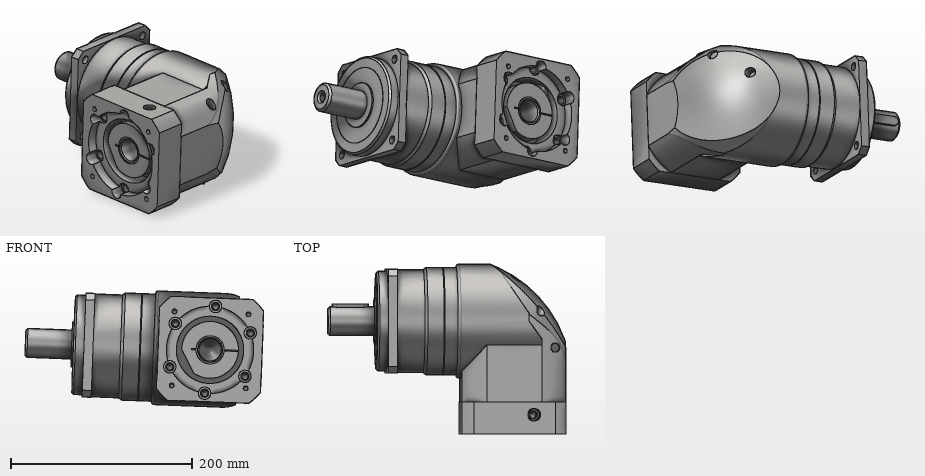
import cadquery as cq
import math

TILT = 2.2
CENTRE = (72.7, 30.8, -0.8)

TIP_X = -204.0
SEAL_X = -152.9
PILOT_X = -150.7
FLANGE_X = -139.1
FLANGE_BACK_X = -129.1
STEP_X = -98.8
RING_X = -95.7
SPLIT_X = -77.2
COLLAR_X = -62.5

SHAFT_R = 16.0
SHAFT_CHAMFER = 2.5
SHAFT_END_X = FLANGE_BACK_X
TAP_R = 5.0
TAP_DEPTH = 21.0
COUNTERSINK = 2.0
KEY_WIDTH = 10.0
KEY_LENGTH = 40.0
KEY_BOTTOM = 11.0
KEY_TOP = 19.0
KEY_START_X = -199.2

SEAL_R = 25.0
SEAL_LENGTH = 8.0
COVER_R = 42.5
COVER_RISE = 0.3
PILOT_R = 55.0
PILOT_CHAMFER = 2.0
FLANGE_SIDE = 115.0
FLANGE_CHAMFER = 7.6
BOLT_SPACING = 92.0
BOLT_HOLE_R = 4.5
BODY_R = 57.0
RING_R = 59.3
SPLIT_CHAMFER = 0.5

ELBOW_R = 125.7 / 2
COLLAR_FILLET = 3.2
NECK_R = 64.8
NECK_SIDE = 114.5
NECK_FLAT_HALF = 30.3
NECK_OUTER_X = 57.7
BEND_X = 15.8
BEND_TOP_Y = 8.0
BEND_LOW_Y = 0.0
NECK_FLAT_TOP_Y = -19.8
SEAM_Y = -89.0
DOME_R = 139.7
DOME_TOP = 39.5
DOME_SHIFT = 4.2
CONE_TOP = 42.2
CONE_BASE = -105.5
CONE_TOP_WIDTH = 47.0
CONE_TOP_HEIGHT = 40.0
CONE_WIDTH_SLOPE = 1.0
CONE_HEIGHT_SLOPE = 0.9
CAP_HOLE_R = 5.8
CAP_HOLES = [(-12.6, 49.5), (30.8, 21.0)]
CAP_HOLE_FLOOR = 18.5
SIDE_HOLE_R = 5.0
SIDE_HOLE_PLACE = (45.5, -29.3)
SIDE_HOLE_FLOOR_Z = 21.0

FACE_Y = -124.7
ADAPTER_SIDE = 115.0
ADAPTER_CORNER_R = 73.0
RECESS_R = 48.2
RECESS_DEPTH = 11.9
ADAPTER_BORE_R = 37.2
SCREW_COUNT = 6
FIRST_SCREW_ANGLE = 25.0
SCREW_CIRCLE_R = 48.2
SCREW_HEAD_R = 6.9
SCREW_HEAD_DEPTH = 15.3
SCREW_HOLE_R = 4.5
SCREW_TAP_R = 3.7
SCREW_TAP_DEPTH = 13.2
MOTOR_TAP_R = 2.6
MOTOR_TAP_SPACING = 81.7
MOTOR_TAP_DEPTH = 15.8
ACCESS_R = 6.9
ACCESS_X = 22.0
ACCESS_Y = -103.3

CLAMP_SETBACK = 13.5
CLAMP_Y = FACE_Y + CLAMP_SETBACK
CLAMP_LENGTH = 15.8
CLAMP_R = 31.4
CLAMP_FLAT = 27.7
CLAMP_FLAT_ANGLE = 209.0
SLIT_WIDTH = 1.3
SLIT_SHORT_END = 20.3
CLAMP_SCREW_R = 4.2
CLAMP_SCREW_DEPTH = 42.2
SLEEVE_R = 15.5
SLEEVE_BORE_R = 12.5
SLEEVE_CHAMFER = 1.3
SLEEVE_LENGTH = 42.2
SLEEVE_BORE_DEPTH = 31.5
SLEEVE_CONE = 5.3

DRILL_POINT = 0.6
REACH = 79.0


def rod_x(radius, start, end):
    return cq.Workplane("YZ", origin=(start, 0, 0)).circle(radius).extrude(end - start)


def rod_y(radius, start, end, x=0.0, z=0.0):
    return cq.Workplane("XZ", origin=(x, start, z)).circle(radius).extrude(start - end)


def rod_z(radius, start, end, x, y):
    return cq.Workplane("XY", origin=(x, y, start)).circle(radius).extrude(end - start)


def block(x0, x1, y0, y1, z0, z1):
    return cq.Workplane("XY").box(x1 - x0, y1 - y0, z1 - z0, centered=False).translate((x0, y0, z0))


def drill(radius, mouth, direction, depth):
    """A blind drilled hole with a conical bottom, as a cutting tool."""
    axis = cq.Vector(*direction)
    start = cq.Vector(*mouth)
    straight = cq.Solid.makeCylinder(radius, depth, start, axis)
    point = cq.Solid.makeCone(radius, 0, radius * DRILL_POINT, start + axis * depth, axis)
    return cq.Workplane(straight).union(cq.Workplane(point))


def make_key():
    middle_x = KEY_START_X + KEY_LENGTH / 2
    return (
        cq.Workplane("XZ", origin=(middle_x, KEY_BOTTOM, 0))
        .slot2D(KEY_LENGTH, KEY_WIDTH)
        .extrude(KEY_BOTTOM - KEY_TOP)
    )


def make_shaft():
    shaft = rod_x(SHAFT_R, TIP_X, SHAFT_END_X).faces("<X").chamfer(SHAFT_CHAMFER)
    shaft = shaft.cut(drill(TAP_R, (TIP_X, 0, 0), (1, 0, 0), TAP_DEPTH))
    countersink = cq.Solid.makeCone(
        TAP_R + COUNTERSINK, TAP_R, COUNTERSINK, cq.Vector(TIP_X, 0, 0), cq.Vector(1, 0, 0)
    )
    return shaft.cut(cq.Workplane(countersink)).cut(make_key())


def make_seal():
    seal_end = SEAL_X + SEAL_LENGTH
    return rod_x(SEAL_R, SEAL_X, seal_end).cut(rod_x(SHAFT_R, SEAL_X, seal_end))


def make_flange():
    return (
        cq.Workplane("YZ", origin=(FLANGE_X, 0, 0))
        .rect(FLANGE_SIDE, FLANGE_SIDE)
        .extrude(FLANGE_BACK_X - FLANGE_X)
        .edges("|X")
        .chamfer(FLANGE_CHAMFER)
        .faces("<X")
        .workplane(origin=(FLANGE_X, 0, 0))
        .rect(BOLT_SPACING, BOLT_SPACING, forConstruction=True)
        .vertices()
        .hole(2 * BOLT_HOLE_R)
    )


def make_output_housing():
    profile = [
        (PILOT_X - COVER_RISE, 0),
        (PILOT_X - COVER_RISE, COVER_R),
        (PILOT_X, COVER_R),
        (PILOT_X, PILOT_R - PILOT_CHAMFER),
        (PILOT_X + PILOT_CHAMFER, PILOT_R),
        (FLANGE_X, PILOT_R),
        (FLANGE_BACK_X, BODY_R),
        (STEP_X, BODY_R),
        (RING_X, RING_R),
        (SPLIT_X - SPLIT_CHAMFER, RING_R),
        (SPLIT_X, RING_R - SPLIT_CHAMFER),
        (SPLIT_X, 0),
    ]
    turned = cq.Workplane("XY").polyline(profile).close().revolve(360, (0, 0, 0), (1, 0, 0))
    housing = turned.union(make_flange())
    housing = housing.cut(rod_x(SEAL_R, SEAL_X, SEAL_X + SEAL_LENGTH))
    return housing.cut(rod_x(SHAFT_R, SEAL_X, SHAFT_END_X))


def screw_places():
    angles = [math.radians(FIRST_SCREW_ANGLE + i * 360 / SCREW_COUNT) for i in range(SCREW_COUNT)]
    return [(SCREW_CIRCLE_R * math.cos(angle), SCREW_CIRCLE_R * math.sin(angle)) for angle in angles]


def dome_plane(offset):
    """A plane across the diagonal dome axis, at an offset from the crossing of the axes."""
    along = offset / math.sqrt(2)
    return cq.Plane(origin=(along, along, 0), xDir=(-1, 1, 0), normal=(1, 1, 0))


def make_dome():
    """Everything under the rounded back of the elbow: a ball clipped by an elliptical cone."""
    centre = dome_plane(DOME_TOP - DOME_R).toWorldCoords((DOME_SHIFT, 0))
    ball = cq.Workplane("XY").sphere(DOME_R).translate(centre)
    taper = CONE_TOP - CONE_BASE
    cone = (
        cq.Workplane(dome_plane(CONE_BASE))
        .ellipse(CONE_TOP_WIDTH + taper * CONE_WIDTH_SLOPE, CONE_TOP_HEIGHT + taper * CONE_HEIGHT_SLOPE)
        .workplane(offset=taper)
        .ellipse(CONE_TOP_WIDTH, CONE_TOP_HEIGHT)
        .loft(ruled=True)
    )
    return ball.intersect(cone)


def make_outer_corner():
    """Prism over the outer side of the bend, where the round neck replaces the main barrel."""
    outline = [
        (BEND_X, BEND_TOP_Y),
        (BEND_X, BEND_LOW_Y),
        (NECK_FLAT_HALF, NECK_FLAT_TOP_Y),
        (NECK_FLAT_HALF, SEAM_Y),
        (REACH, SEAM_Y),
        (REACH, BEND_TOP_Y + REACH - BEND_X),
    ]
    return cq.Workplane("XY", origin=(0, 0, -REACH)).polyline(outline).close().extrude(2 * REACH)


def make_elbow():
    half_side = NECK_SIDE / 2
    corner = make_outer_corner()
    ring = rod_x(RING_R, SPLIT_X, COLLAR_X).faces("<X").chamfer(SPLIT_CHAMFER)
    barrel = rod_x(ELBOW_R, COLLAR_X, NECK_OUTER_X).faces("<X").edges().fillet(COLLAR_FILLET)
    round_neck = rod_y(NECK_R, ELBOW_R, SEAM_Y)
    flats = block(-half_side, half_side, SEAM_Y, ELBOW_R, -half_side, half_side)
    side_limit = block(0, NECK_OUTER_X, SEAM_Y, ELBOW_R, -REACH, REACH)
    inner_neck = round_neck.intersect(flats).intersect(block(-REACH, REACH, SEAM_Y, 0, -REACH, REACH))
    outer_neck = round_neck.intersect(corner).intersect(side_limit)
    elbow = barrel.cut(corner).union(inner_neck).union(outer_neck).intersect(make_dome()).union(ring)
    cap_holes = cq.Workplane(dome_plane(CAP_HOLE_FLOOR)).pushPoints(CAP_HOLES).circle(CAP_HOLE_R)
    elbow = elbow.cut(cap_holes.extrude(REACH))
    elbow = elbow.cut(rod_z(SIDE_HOLE_R, SIDE_HOLE_FLOOR_Z, REACH, *SIDE_HOLE_PLACE))
    for x, z in screw_places():
        elbow = elbow.cut(drill(SCREW_TAP_R, (x, SEAM_Y, z), (0, 1, 0), SCREW_TAP_DEPTH))
    return elbow.cut(rod_y(SLEEVE_R, CLAMP_Y + SLEEVE_LENGTH, SEAM_Y))


def make_adapter():
    half_side = ADAPTER_SIDE / 2
    adapter = rod_y(ADAPTER_CORNER_R, SEAM_Y, FACE_Y).intersect(
        block(-half_side, half_side, FACE_Y, SEAM_Y, -half_side, half_side)
    )
    adapter = adapter.cut(rod_y(RECESS_R, FACE_Y + RECESS_DEPTH, FACE_Y))
    adapter = adapter.cut(rod_y(ADAPTER_BORE_R, SEAM_Y, FACE_Y))
    for x, z in screw_places():
        adapter = adapter.cut(rod_y(SCREW_HEAD_R, FACE_Y + SCREW_HEAD_DEPTH, FACE_Y, x, z))
        adapter = adapter.cut(rod_y(SCREW_HOLE_R, SEAM_Y, FACE_Y, x, z))
    for x in (-MOTOR_TAP_SPACING / 2, MOTOR_TAP_SPACING / 2):
        for z in (-MOTOR_TAP_SPACING / 2, MOTOR_TAP_SPACING / 2):
            adapter = adapter.cut(drill(MOTOR_TAP_R, (x, FACE_Y, z), (0, 1, 0), MOTOR_TAP_DEPTH))
    return adapter.cut(rod_z(ACCESS_R, 0, REACH, ACCESS_X, ACCESS_Y))


def make_clamp():
    back = CLAMP_Y + CLAMP_LENGTH
    clamp = rod_y(CLAMP_R, back, CLAMP_Y).cut(rod_y(SLEEVE_R, back, CLAMP_Y))
    half_slit = SLIT_WIDTH / 2
    clamp = clamp.cut(block(-SLIT_SHORT_END, CLAMP_R, CLAMP_Y, back, -half_slit, half_slit))
    flat_cut = block(CLAMP_FLAT, REACH, CLAMP_Y, back, -REACH, REACH)
    clamp = clamp.cut(flat_cut.rotate((0, 0, 0), (0, 1, 0), -CLAMP_FLAT_ANGLE))
    return clamp.cut(drill(CLAMP_SCREW_R, (ACCESS_X, ACCESS_Y, CLAMP_R), (0, 0, -1), CLAMP_SCREW_DEPTH))


def make_sleeve():
    sleeve = rod_y(SLEEVE_R, CLAMP_Y + SLEEVE_LENGTH, CLAMP_Y)
    bore_end = CLAMP_Y + SLEEVE_BORE_DEPTH
    profile = [
        (0, CLAMP_Y),
        (SLEEVE_BORE_R + SLEEVE_CHAMFER, CLAMP_Y),
        (SLEEVE_BORE_R, CLAMP_Y + SLEEVE_CHAMFER),
        (SLEEVE_BORE_R, bore_end),
        (0, bore_end + SLEEVE_CONE),
    ]
    bore = cq.Workplane("XY").polyline(profile).close().revolve(360, (0, 0, 0), (0, 1, 0))
    return sleeve.cut(bore)


def install(body):
    return body.rotate((0, 0, 0), (0, 1, 0), TILT).translate(CENTRE)


shaft = install(make_shaft())
key = install(make_key())
seal = install(make_seal())
output_housing = install(make_output_housing())
elbow = install(make_elbow())
adapter = install(make_adapter())
clamp = install(make_clamp())
sleeve = install(make_sleeve())

result = cq.Compound.makeCompound(
    [
        shaft.val(),
        key.val(),
        seal.val(),
        output_housing.val(),
        elbow.val(),
        adapter.val(),
        clamp.val(),
        sleeve.val(),
    ]
)